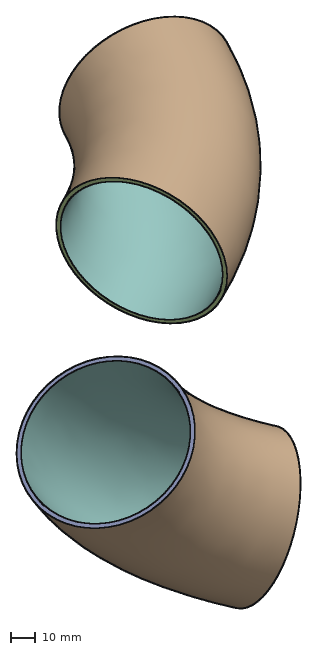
import cadquery as cq
import math

overall_length = 116.8
outer_diameter = 76.3
inner_diameter = 72.3
bend_angle = 45.0

outer_radius = outer_diameter / 2
bend_radius = overall_length / math.sin(math.radians(bend_angle)) - outer_radius

result = (
    cq.Workplane("XZ")
    .circle(outer_radius)
    .circle(inner_diameter / 2)
    .revolve(bend_angle, (-bend_radius, 0), (-bend_radius, 1))
)